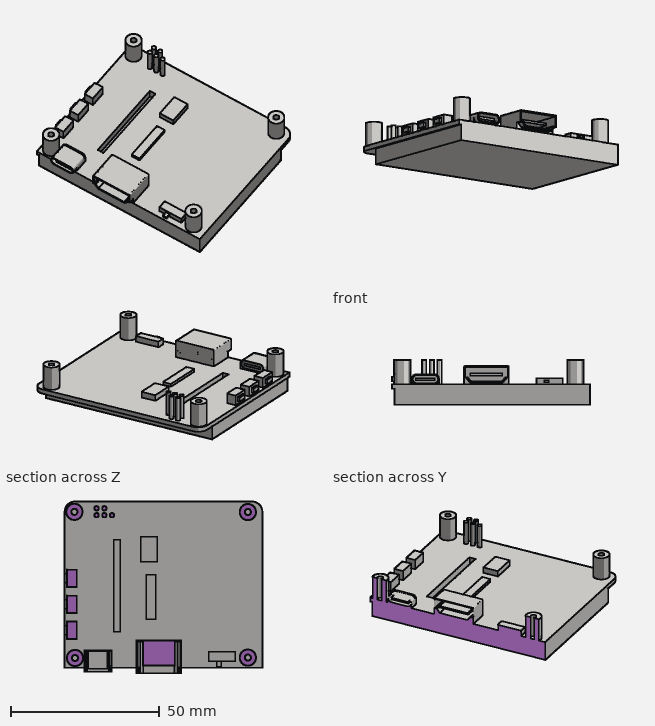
import cadquery as cq


BOARD_LENGTH = 66.55
BOARD_WIDTH = 56.0
BOARD_THICKNESS = 1.6
BOARD_CORNER_RADIUS = 3.6
BATTERY_LEFT = 0.8
BATTERY_WIDTH = 48.05
BATTERY_THICKNESS = 5.4

SLOT_X = (16.5, 18.8)
SLOT_Y = (12.2, 43.0)
SLOT_DEPTH = 3.0

POST_HEIGHT = 8.2
STANDOFF_DIAMETER = 5.5
STANDOFF_HOLE_DIAMETER = 2.0
STANDOFF_CENTERS = [(3.3, 52.45), (61.6, 52.4), (3.5, 3.3), (61.6, 3.45)]
PIN_DIAMETER = 1.5
PIN_X = 10.8
PIN_Y = 51.3
PIN_PITCH_X = 2.6
PIN_PITCH_Y = 2.3
PIN_ROW_COUNTS = (3, 2)

LARGE_CHIP_X = (25.7, 31.15)
LARGE_CHIP_Y = (35.6, 44.1)
LARGE_CHIP_HEIGHT = 2.05
LONG_CHIP_X = (27.5, 30.6)
LONG_CHIP_Y = (16.4, 31.3)
LONG_CHIP_HEIGHT = 1.0

BUTTON_COUNT = 3
BUTTON_PITCH = 8.7
FIRST_BUTTON_Y = 12.65
BUTTON_X = (0.8, 4.2)
BUTTON_WIDTH = 5.9
BUTTON_HEIGHT = 3.5
PLUNGER_WIDTH = 3.0
PLUNGER_Z = (0.9, 2.5)

SWITCH_X = (48.5, 57.4)
SWITCH_Y = (2.25, 5.4)
SWITCH_HEIGHT = 2.05
LEVER_X = (51.1, 52.65)
LEVER_FRONT = 0.45
LEVER_Z = (0.65, 1.3)

USB_CENTER_X = 11.25
USB_WIDTH = 9.1
USB_HEIGHT = 3.3
USB_CORNER_RADIUS = 1.5
USB_WALL = 0.3
USB_FRONT = -1.3
USB_REAR = 5.9
USB_BASE_FRONT = 0.7
USB_TONGUE_WIDTH = 6.4
USB_TONGUE_THICKNESS = 0.8
USB_TONGUE_RECESS = 1.0

HDMI_CENTER_X = 31.75
HDMI_WIDTH = 15.1
HDMI_WALL = 0.45
HDMI_TOP = 6.1
HDMI_BOTTOM = 0.45
HDMI_FRONT = -1.85
HDMI_BASE_FRONT = 0.2
HDMI_REAR = 9.25
HDMI_TOP_RADIUS = 0.5
HDMI_STEP_Z = 2.1
HDMI_STEP_WIDTH = 0.7
HDMI_FLOOR_WIDTH = 10.8
HDMI_CAVITY_STEP_Z = 2.3
HDMI_CAVITY_FLOOR_WIDTH = 10.45
HDMI_TONGUE_WIDTH = 10.8
HDMI_TONGUE_Z = (2.85, 3.6)
HDMI_TONGUE_RECESS = 2.65


def block(x_span, y_span, z_span):
    """Box between the given limits."""
    spans = (x_span, y_span, z_span)
    sizes = [high - low for low, high in spans]
    corner = [low for low, high in spans]
    return cq.Workplane("XY").box(*sizes, centered=False).translate(tuple(corner))


def centered_span(center, width):
    return (center - width / 2, center + width / 2)


def extrude_back(profile, front, rear):
    """Extrude an XZ profile drawn at Y = 0 so that it runs from front to rear."""
    return profile.extrude(front - rear).translate((0, front, 0))


def board_with_battery():
    board = block((0, BOARD_LENGTH), (0, BOARD_WIDTH), (-BOARD_THICKNESS, 0))
    board = board.edges("|Z and >Y").fillet(BOARD_CORNER_RADIUS)
    battery_bottom = -BOARD_THICKNESS - BATTERY_THICKNESS
    battery = block(
        (BATTERY_LEFT, BOARD_LENGTH), (0, BATTERY_WIDTH), (battery_bottom, -BOARD_THICKNESS)
    )
    slot = block(SLOT_X, SLOT_Y, (-SLOT_DEPTH, 0))
    return board.union(battery).cut(slot)


def standoffs():
    return (
        cq.Workplane("XY")
        .pushPoints(STANDOFF_CENTERS)
        .circle(STANDOFF_DIAMETER / 2)
        .circle(STANDOFF_HOLE_DIAMETER / 2)
        .extrude(POST_HEIGHT)
    )


def header_pins():
    centers = [
        (PIN_X + column * PIN_PITCH_X, PIN_Y + row * PIN_PITCH_Y)
        for row, count in enumerate(PIN_ROW_COUNTS)
        for column in range(count)
    ]
    return cq.Workplane("XY").pushPoints(centers).circle(PIN_DIAMETER / 2).extrude(POST_HEIGHT)


def push_button(center_y):
    body = block(BUTTON_X, centered_span(center_y, BUTTON_WIDTH), (0, BUTTON_HEIGHT))
    plunger = block((0, BUTTON_X[0]), centered_span(center_y, PLUNGER_WIDTH), PLUNGER_Z)
    return body.union(plunger)


def slide_switch():
    body = block(SWITCH_X, SWITCH_Y, (0, SWITCH_HEIGHT))
    lever = block(LEVER_X, (LEVER_FRONT, SWITCH_Y[0]), LEVER_Z)
    return body.union(lever)


def usb_shell_body(inset, rear):
    """Rounded bar following the connector outline, moved inward by the inset."""
    width_span = centered_span(USB_CENTER_X, USB_WIDTH - 2 * inset)
    body = block(width_span, (USB_FRONT, rear), (inset, USB_HEIGHT - inset))
    return body.edges("|Y").fillet(USB_CORNER_RADIUS - inset)


def usb_connector():
    cavity_rear = USB_REAR - USB_WALL
    base = block(
        centered_span(USB_CENTER_X, USB_WIDTH), (USB_BASE_FRONT, USB_REAR), (0, USB_CORNER_RADIUS)
    )
    tongue = block(
        centered_span(USB_CENTER_X, USB_TONGUE_WIDTH),
        (USB_FRONT + USB_TONGUE_RECESS, cavity_rear),
        centered_span(USB_HEIGHT / 2, USB_TONGUE_THICKNESS),
    )
    cavity = usb_shell_body(USB_WALL, cavity_rear)
    return usb_shell_body(0, USB_REAR).union(base).cut(cavity).union(tongue)


def keyed_profile(width, top, step_z, bottom, floor_width):
    """Rectangle whose lower corners step inward and then slope to a narrower floor."""
    half_width = width / 2
    half_step = half_width - HDMI_STEP_WIDTH
    half_floor = floor_width / 2
    return (
        cq.Workplane("XZ")
        .center(HDMI_CENTER_X, 0)
        .moveTo(-half_width, top)
        .lineTo(half_width, top)
        .lineTo(half_width, step_z)
        .lineTo(half_step, step_z)
        .lineTo(half_floor, bottom)
        .lineTo(-half_floor, bottom)
        .lineTo(-half_step, step_z)
        .lineTo(-half_width, step_z)
        .close()
    )


def hdmi_connector():
    cavity_rear = HDMI_REAR - HDMI_WALL
    shell = extrude_back(
        keyed_profile(HDMI_WIDTH, HDMI_TOP, HDMI_STEP_Z, HDMI_BOTTOM, HDMI_FLOOR_WIDTH),
        HDMI_FRONT,
        HDMI_REAR,
    )
    shell = shell.faces(">Z").edges("|Y").fillet(HDMI_TOP_RADIUS)
    base = block(
        centered_span(HDMI_CENTER_X, HDMI_WIDTH), (HDMI_BASE_FRONT, HDMI_REAR), (0, HDMI_STEP_Z)
    )
    cavity = extrude_back(
        keyed_profile(
            HDMI_WIDTH - 2 * HDMI_WALL,
            HDMI_TOP - HDMI_WALL,
            HDMI_CAVITY_STEP_Z,
            HDMI_BOTTOM + HDMI_WALL,
            HDMI_CAVITY_FLOOR_WIDTH,
        ),
        HDMI_FRONT,
        cavity_rear,
    )
    tongue = block(
        centered_span(HDMI_CENTER_X, HDMI_TONGUE_WIDTH),
        (HDMI_FRONT + HDMI_TONGUE_RECESS, cavity_rear),
        HDMI_TONGUE_Z,
    )
    return shell.union(base).cut(cavity).union(tongue)


result = (
    board_with_battery()
    .union(standoffs())
    .union(header_pins())
    .union(block(LARGE_CHIP_X, LARGE_CHIP_Y, (0, LARGE_CHIP_HEIGHT)))
    .union(block(LONG_CHIP_X, LONG_CHIP_Y, (0, LONG_CHIP_HEIGHT)))
    .union(slide_switch())
    .union(usb_connector())
    .union(hdmi_connector())
)
for index in range(BUTTON_COUNT):
    result = result.union(push_button(FIRST_BUTTON_Y + index * BUTTON_PITCH))